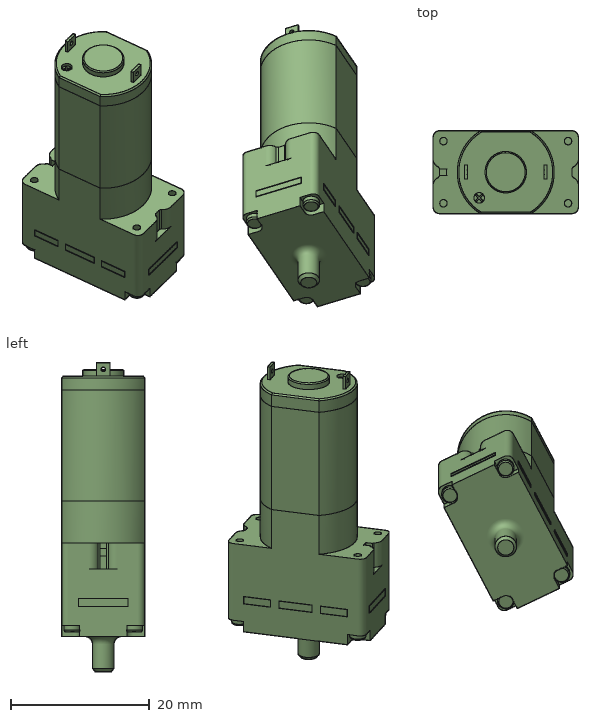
import cadquery as cq
import math

BOX_LENGTH = 21.0
BOX_WIDTH = 12.0
BOX_HEIGHT = 13.5
BOX_EDGE_RADIUS = 1.0

MOTOR_RADIUS = 7.0
COLLAR_HEIGHT = 6.0
CAN_HEIGHT = 16.0
CAP_HEIGHT = 2.0
CAP_CHAMFER = 0.22
CAN_Z = BOX_HEIGHT + COLLAR_HEIGHT
CAP_Z = CAN_Z + CAN_HEIGHT
CAP_TOP_Z = CAP_Z + CAP_HEIGHT

HUB_RADIUS = 3.0
HUB_HEIGHT = 1.0
HUB_CHAMFER = 0.2

MARK_X = -3.85
MARK_Y = -3.7
MARK_RADIUS = 0.75
MARK_DEPTH = 0.5
CROSS_WIDTH = 0.22
CROSS_LENGTH = 1.25
CROSS_HEIGHT = 0.15

TERMINAL_X = 5.75
TERMINAL_THICKNESS = 0.4
TERMINAL_WIDTH = 2.0
TERMINAL_HOLE_RADIUS = 0.3

SHAFT_RADIUS = 1.55
SHAFT_ROOT_FILLET = 1.1
SHAFT_TIP_CHAMFER = 0.5
SHAFT_TIP_INSET = 0.4

TOTAL_HEIGHT = 44.6
SHAFT_LENGTH = 5.1
TERMINAL_HEIGHT = TOTAL_HEIGHT - SHAFT_LENGTH - CAP_TOP_Z

SCREW_INSET = 1.5
SCREW_RADIUS = 0.55
SCREW_TOP_Z = 8.9
HEAD_RADIUS = 1.2
HEAD_HEIGHT = 0.95
HEAD_CHAMFER_HEIGHT = 0.25
HEAD_CHAMFER_INSET = 0.2
CORNER_NOTCH_HEIGHT = 1.6
CORNER_NOTCH_SIZE = 2.6
CORNER_NOTCH_RADIUS = 1.0
SCREW_X = BOX_LENGTH / 2 - SCREW_INSET
SCREW_Y = BOX_WIDTH / 2 - SCREW_INSET

PANEL_Z = 4.9
PANEL_HEIGHT = 1.1
PANEL_DEPTH = 0.1
LONG_SIDE_PANELS = [(-5.85, 4.05), (0, 5.05), (5.85, 4.05)]
SHORT_SIDE_PANEL_LENGTH = 7.2

SLOT_DEPTH = 1.0
SLOT_HEIGHT = 3.8
SLOT_MOUTH_HALF_WIDTH = 1.95
SLOT_FLARE_DEPTH = 0.8
SLOT_FLARE_HALF_WIDTH = 0.75
SLOT_BACK_WIDTH = 1.0

CHANNEL_SIZE = SLOT_BACK_WIDTH
CHANNEL_HEIGHT = 1.87
WINDOW_HEIGHT = 1.05
WINDOW_DEPTH = 1.0


def motor_section(height, base_z):
    """Round bar with two flats flush with the long sides of the gearbox."""
    round_bar = cq.Workplane("XY").workplane(offset=base_z).circle(MOTOR_RADIUS).extrude(height)
    flats = cq.Workplane("XY").box(BOX_LENGTH, BOX_WIDTH, height, centered=(True, True, False))
    return round_bar.intersect(flats.translate((0, 0, base_z)))


def make_shaft():
    """Revolved shaft with a concave flare where it meets the underside of the block."""
    root_z = -SHAFT_ROOT_FILLET
    buried_top_z = BOX_HEIGHT / 2
    arc_offset = SHAFT_ROOT_FILLET * (1 - math.sqrt(0.5))
    flare_radius = SHAFT_RADIUS + SHAFT_ROOT_FILLET
    profile = (
        cq.Workplane("XZ")
        .moveTo(0, buried_top_z)
        .lineTo(flare_radius, buried_top_z)
        .lineTo(flare_radius, 0)
        .threePointArc((SHAFT_RADIUS + arc_offset, -arc_offset), (SHAFT_RADIUS, root_z))
        .lineTo(SHAFT_RADIUS, SHAFT_TIP_CHAMFER - SHAFT_LENGTH)
        .lineTo(SHAFT_RADIUS - SHAFT_TIP_INSET, -SHAFT_LENGTH)
        .lineTo(0, -SHAFT_LENGTH)
        .close()
    )
    return profile.revolve(360, (0, 0, 0), (0, 1, 0))


def make_screw(x, y):
    """Screw inserted from below, its chamfered head against the ceiling of the notch."""
    seat_z = CORNER_NOTCH_HEIGHT
    head_z = seat_z - HEAD_HEIGHT
    screw = (
        cq.Workplane("XZ")
        .moveTo(0, head_z)
        .lineTo(-HEAD_RADIUS + HEAD_CHAMFER_INSET, head_z)
        .lineTo(-HEAD_RADIUS, head_z + HEAD_CHAMFER_HEIGHT)
        .lineTo(-HEAD_RADIUS, seat_z)
        .lineTo(-SCREW_RADIUS, seat_z)
        .lineTo(-SCREW_RADIUS, SCREW_TOP_Z)
        .lineTo(0, SCREW_TOP_Z)
        .close()
        .revolve(360, (0, 0, 0), (0, 1, 0))
    )
    return screw.translate((x, y, 0))


def make_corner_cutter():
    """Notch at the +X +Y corner, with the space that the screw and its way in from above take up."""
    notch = (
        cq.Workplane("XY")
        .center((BOX_LENGTH - CORNER_NOTCH_SIZE) / 2, (BOX_WIDTH - CORNER_NOTCH_SIZE) / 2)
        .rect(CORNER_NOTCH_SIZE, CORNER_NOTCH_SIZE)
        .extrude(CORNER_NOTCH_HEIGHT)
        .edges("|Z and <X and <Y")
        .fillet(CORNER_NOTCH_RADIUS)
    )
    hole = (
        cq.Workplane("XY")
        .workplane(offset=CORNER_NOTCH_HEIGHT)
        .center(SCREW_X, SCREW_Y)
        .circle(SCREW_RADIUS)
        .extrude(BOX_HEIGHT - CORNER_NOTCH_HEIGHT)
    )
    return notch.union(hole).union(make_screw(SCREW_X, SCREW_Y))


def cut_corners(block):
    """The same corner cut mirrored to all four corners."""
    cutter = make_corner_cutter()
    mirrored_x = cutter.mirror("YZ")
    for corner in (cutter, mirrored_x, cutter.mirror("XZ"), mirrored_x.mirror("XZ")):
        block = block.cut(corner)
    return block


def cut_panels(block):
    """Shallow rectangles: three on each long side and one on each short side."""
    for side in (-1, 1):
        for centre_x, length in LONG_SIDE_PANELS:
            panel = cq.Workplane("XY").box(length, 2 * PANEL_DEPTH, PANEL_HEIGHT)
            block = block.cut(panel.translate((centre_x, side * BOX_WIDTH / 2, PANEL_Z)))
        panel = cq.Workplane("XY").box(2 * PANEL_DEPTH, SHORT_SIDE_PANEL_LENGTH, PANEL_HEIGHT)
        block = block.cut(panel.translate((side * BOX_LENGTH / 2, 0, PANEL_Z)))
    return block


def cut_side_slots(block):
    """Flared slots open to the top; each flank is an arc tangent to the side face."""
    side_x = -BOX_LENGTH / 2
    flare_x = side_x + SLOT_FLARE_DEPTH
    back_x = side_x + SLOT_DEPTH
    flare_rise = SLOT_MOUTH_HALF_WIDTH - SLOT_FLARE_HALF_WIDTH
    radius = (SLOT_FLARE_DEPTH**2 + flare_rise**2) / (2 * SLOT_FLARE_DEPTH)
    half_angle = math.atan2(SLOT_FLARE_DEPTH, flare_rise)
    middle_x = side_x + radius * (1 - math.cos(half_angle))
    middle_y = SLOT_MOUTH_HALF_WIDTH - radius * math.sin(half_angle)
    slot = (
        cq.Workplane("XY")
        .workplane(offset=BOX_HEIGHT - SLOT_HEIGHT)
        .moveTo(side_x, SLOT_MOUTH_HALF_WIDTH)
        .threePointArc((middle_x, middle_y), (flare_x, SLOT_FLARE_HALF_WIDTH))
        .lineTo(back_x, SLOT_BACK_WIDTH / 2)
        .lineTo(back_x, -SLOT_BACK_WIDTH / 2)
        .lineTo(flare_x, -SLOT_FLARE_HALF_WIDTH)
        .threePointArc((middle_x, -middle_y), (side_x, -SLOT_MOUTH_HALF_WIDTH))
        .close()
        .extrude(SLOT_HEIGHT)
    )
    return block.cut(slot).cut(slot.mirror("YZ"))


def cut_channel(block):
    """Square channel open to the top and to the -X slot, and the window behind it."""
    back_x = -BOX_LENGTH / 2 + SLOT_DEPTH
    floor_z = BOX_HEIGHT - CHANNEL_HEIGHT
    front_edge = (False, True, False)
    channel = cq.Workplane("XY").box(CHANNEL_SIZE, CHANNEL_SIZE, CHANNEL_HEIGHT, centered=front_edge)
    window = cq.Workplane("XY").box(WINDOW_DEPTH, CHANNEL_SIZE, WINDOW_HEIGHT, centered=front_edge)
    block = block.cut(channel.translate((back_x, 0, floor_z)))
    return block.cut(window.translate((back_x + CHANNEL_SIZE, 0, floor_z)))


def make_gearbox():
    """Block, motor collar and output shaft in one piece."""
    block = cq.Workplane("XY").box(BOX_LENGTH, BOX_WIDTH, BOX_HEIGHT, centered=(True, True, False))
    block = block.edges("|Z").fillet(BOX_EDGE_RADIUS)
    block = block.union(motor_section(COLLAR_HEIGHT, BOX_HEIGHT))
    block = block.union(make_shaft())
    block = cut_side_slots(block)
    block = cut_channel(block)
    block = cut_panels(block)
    return cut_corners(block)


def make_end_cap():
    """Cap of the motor with its bearing hub and terminal mark."""
    cap = motor_section(CAP_HEIGHT, CAP_Z).faces(">Z").chamfer(CAP_CHAMFER)
    hub = cq.Workplane("XY").workplane(offset=CAP_TOP_Z).circle(HUB_RADIUS).extrude(HUB_HEIGHT)
    cap = cap.union(hub.faces(">Z").chamfer(HUB_CHAMFER))
    mark_floor = cq.Workplane("XY").workplane(offset=CAP_TOP_Z - MARK_DEPTH).center(MARK_X, MARK_Y)
    cap = cap.cut(mark_floor.circle(MARK_RADIUS).extrude(MARK_DEPTH))
    for angle in (45, 135):
        arm = mark_floor.transformed(rotate=(0, 0, angle)).rect(CROSS_LENGTH, CROSS_WIDTH)
        cap = cap.union(arm.extrude(CROSS_HEIGHT))
    return cap


def make_terminal(x):
    """Upright tab on the end cap with a cross hole in its middle."""
    tab = cq.Workplane("XY").box(TERMINAL_THICKNESS, TERMINAL_WIDTH, TERMINAL_HEIGHT)
    tab = tab.faces(">X").workplane().circle(TERMINAL_HOLE_RADIUS).cutThruAll()
    return tab.translate((x, 0, CAP_TOP_Z + TERMINAL_HEIGHT / 2))


gearbox = make_gearbox()
motor_can = motor_section(CAN_HEIGHT, CAN_Z)
end_cap = make_end_cap()
terminals = [make_terminal(side * TERMINAL_X) for side in (-1, 1)]
screws = [make_screw(x * SCREW_X, y * SCREW_Y) for x in (-1, 1) for y in (-1, 1)]

bodies = [gearbox, motor_can, end_cap, *terminals, *screws]
result = cq.Compound.makeCompound([body.solids().val() for body in bodies])